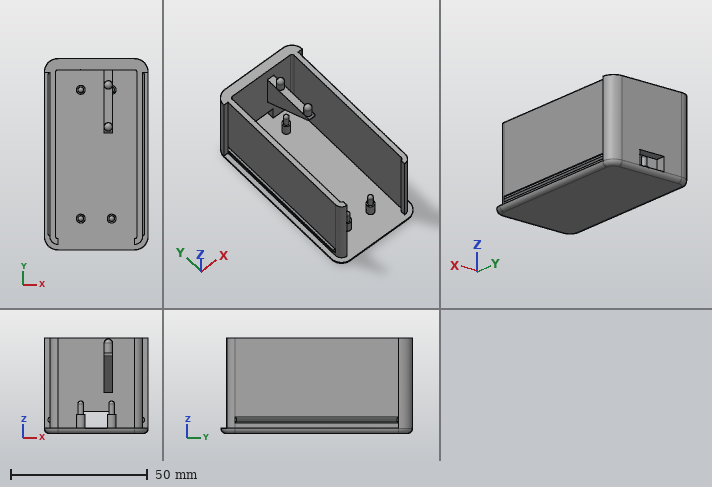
import cadquery as cq
import math

width = 38.0
length = 70.0
height = 35.0
corner_radius = 5.05
floor_thickness = 2.0
bottom_edge_radius = 1.95

wall_setback = 2.0
wall_inner_offset = 4.1
outer_wall_radius = corner_radius - wall_setback
inner_wall_radius = corner_radius - wall_inner_offset
wall_height = height - floor_thickness

rail_length = length - 2 * corner_radius
rail_base_height = 2.2
rail_projection = 0.7
rail_taper = 45.0
rail_center_z = 5.05

opening_width = 11.35
opening_height = 6.0

peg_spacing_x = 11.3
peg_spacing_y = 47.05
peg_base_diameter = 3.2
peg_pin_diameter = 2.1
peg_base_top = 7.0
peg_tip_top = 11.9

bracket_center_x = 4.4
bracket_width = 3.1
bracket_top = 29.55
bracket_root_bottom = 15.1
bracket_apex_y = 6.0
bracket_tip_radius = 0.6
bracket_pin_diameter = 3.1
bracket_pin_top = 34.6
bracket_pin_positions_y = (10.0, 25.35)

rear_inner_y = length / 2 - wall_inner_offset
front_corner_y = -length / 2 + corner_radius
rear_corner_y = length / 2 - corner_radius
lip_end_x = width / 2 - corner_radius


def outer_block():
    """Full-height rounded block with a rounded underside edge."""
    block = cq.Workplane("XY").box(width, length, height, centered=(True, True, False))
    return block.edges("|Z").fillet(corner_radius).faces("<Z").edges().fillet(bottom_edge_radius)


def wall_plan():
    """U-shaped wall outline, with a thick rear wall and front ends curling inwards."""
    diagonal = math.sqrt(0.5)
    half_width = width / 2
    wall_x = half_width - wall_setback
    inner_x = half_width - wall_inner_offset

    def front_curl_midpoint(radius):
        return lip_end_x + radius * diagonal, front_corner_y - radius * diagonal

    inner_round_middle = (
        lip_end_x + inner_wall_radius * diagonal,
        rear_corner_y + inner_wall_radius * diagonal,
    )
    rear_round_middle = (
        lip_end_x + corner_radius * diagonal,
        rear_corner_y + corner_radius * diagonal,
    )
    return (
        cq.Workplane("XY", origin=(0, 0, floor_thickness))
        .moveTo(0, length / 2)
        .lineTo(lip_end_x, length / 2)
        .threePointArc(rear_round_middle, (half_width, rear_corner_y))
        .lineTo(wall_x, rear_corner_y)
        .lineTo(wall_x, front_corner_y)
        .threePointArc(
            front_curl_midpoint(outer_wall_radius), (lip_end_x, front_corner_y - outer_wall_radius)
        )
        .lineTo(lip_end_x, front_corner_y - inner_wall_radius)
        .threePointArc(front_curl_midpoint(inner_wall_radius), (inner_x, front_corner_y))
        .lineTo(inner_x, rear_corner_y)
        .threePointArc(inner_round_middle, (lip_end_x, rear_inner_y))
        .lineTo(0, rear_inner_y)
        .mirrorY()
    )


def shell():
    """Floor plate and walls, with the opening cut through the rear wall."""
    floor = outer_block().intersect(
        cq.Workplane("XY").box(width, length, floor_thickness, centered=(True, True, False))
    )
    opening = cq.Workplane("XY", origin=(0, length / 2 - wall_inner_offset / 2, floor_thickness)).box(
        opening_width, 2 * wall_inner_offset, opening_height, centered=(True, True, False)
    )
    walls = wall_plan().extrude(wall_height).cut(opening)
    return floor.union(walls)


def side_rail(side):
    """Rail projecting from the wall on the given X side (-1 or 1)."""
    wall_face = cq.Plane(
        origin=(side * (width / 2 - wall_setback), 0, rail_center_z),
        xDir=(0, 1, 0),
        normal=(side, 0, 0),
    )
    return cq.Workplane(wall_face).rect(rail_length, rail_base_height).extrude(
        rail_projection, taper=rail_taper
    )


def domed_pin(x, y, bottom, top, diameter):
    """Vertical cylinder ending in a hemisphere."""
    radius = diameter / 2
    profile = (
        cq.Workplane("XZ", origin=(x, y, 0))
        .moveTo(0, bottom)
        .lineTo(radius, bottom)
        .lineTo(radius, top - radius)
        .radiusArc((0, top), -radius)
        .close()
    )
    return profile.revolve(360, (0, 0, 0), (0, 1, 0))


def floor_peg(x, y):
    """Stout base on the floor with a thinner domed pin on top."""
    base = cq.Workplane("XY", origin=(x, y, 0)).workplane(offset=floor_thickness)
    base = base.circle(peg_base_diameter / 2).extrude(peg_base_top - floor_thickness)
    return base.union(domed_pin(x, y, floor_thickness, peg_tip_top, peg_pin_diameter))


def rear_bracket():
    """Gusset reaching forward from the rear wall, with a rounded tip and two pins."""
    gusset = (
        cq.Workplane("YZ", origin=(bracket_center_x, 0, 0))
        .moveTo(rear_inner_y, bracket_top)
        .lineTo(bracket_apex_y, bracket_top)
        .lineTo(rear_inner_y, bracket_root_bottom)
        .close()
        .extrude(bracket_width / 2, both=True)
    )
    bracket = gusset.edges("|X and <Y").fillet(bracket_tip_radius)
    for y in bracket_pin_positions_y:
        pin = domed_pin(bracket_center_x, y, bracket_top, bracket_pin_top, bracket_pin_diameter)
        bracket = bracket.union(pin)
    return bracket


result = shell()
for side in (-1, 1):
    result = result.union(side_rail(side))
    for end in (-1, 1):
        result = result.union(floor_peg(side * peg_spacing_x / 2, end * peg_spacing_y / 2))
result = result.union(rear_bracket())